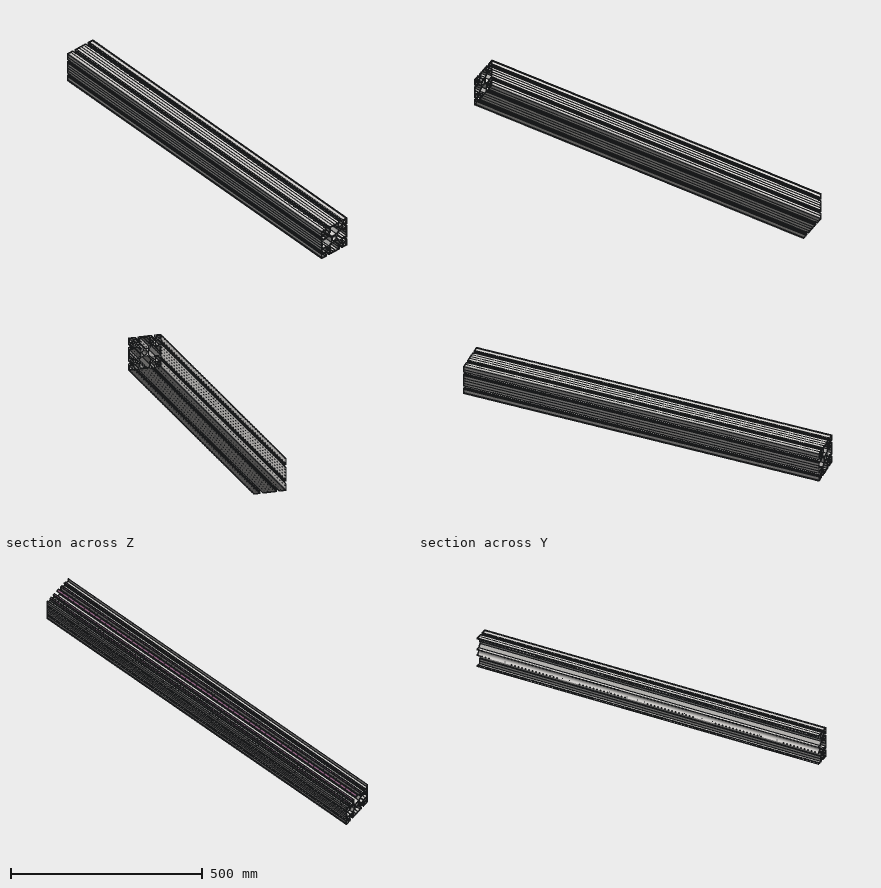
import cadquery as cq
import math

LENGTH = 1000.0
SIDE = 90.0
HALF_SIDE = SIDE / 2
EDGE_RADIUS = 2.5

SLOT_PITCH = 45.0
SLOT_OFFSET = SLOT_PITCH / 2
CORE_BORE = 6.78
CENTRE_BORE = 14.0

MOUTH_WIDTH = 8.2
LIP_DEPTH = 4.0
LIP_STEP_WIDTH = 10.7
CAVITY_WIDTH = 14.6
CAVITY_TOP_DEPTH = 8.5
CAVITY_BOTTOM_DEPTH = 8.7
SLOT_DEPTH = 15.7
FLOOR_WIDTH = 12.2

WALL = 2.4

SLOT_BLOCK_WIDTH = 19.5
SLOT_BLOCK_DEPTH = 17.7
CORE_WIDTH = 13.0
HOLLOW_CHAMFER = 1.3

POST_WIDTH = 20.6
WEB_THICKNESS = 3.6

PAD_WIDTH = 8.0
PAD_THICKNESS = 3.5

QUARTER_TURNS = (0, 90, 180, 270)


def section():
    """Plane across the bar: local x is Y, local y is Z, extrusion runs along +X."""
    return cq.Workplane("YZ")


def symmetric_prism(half_outline, centre=0.0):
    """Full-length prism from one half outline of (offset, z) points, mirrored about y = centre."""
    right = [(centre + offset, z) for offset, z in half_outline]
    left = [(centre - offset, z) for offset, z in reversed(half_outline)]
    return section().polyline(right + left).close().extrude(LENGTH)


def slot(y):
    """Undercut slot opening through the top face."""
    return symmetric_prism(
        [
            (MOUTH_WIDTH / 2, HALF_SIDE),
            (MOUTH_WIDTH / 2, HALF_SIDE - LIP_DEPTH),
            (LIP_STEP_WIDTH / 2, HALF_SIDE - LIP_DEPTH),
            (CAVITY_WIDTH / 2, HALF_SIDE - CAVITY_TOP_DEPTH),
            (CAVITY_WIDTH / 2, HALF_SIDE - CAVITY_BOTTOM_DEPTH),
            (FLOOR_WIDTH / 2, HALF_SIDE - SLOT_DEPTH),
        ],
        y,
    )


def corner_hollow():
    """Square hollow at the +Y, +Z edge, its inner corner cut off along the web between two slots."""
    inner = SLOT_OFFSET + SLOT_BLOCK_WIDTH / 2
    outer = HALF_SIDE - WALL
    outline = [
        (inner + HOLLOW_CHAMFER, inner),
        (outer, inner),
        (outer, outer),
        (inner, outer),
        (inner, inner + HOLLOW_CHAMFER),
    ]
    return section().polyline(outline).close().extrude(LENGTH)


def side_hollow():
    """Large hollow between the centre post and the middle of the top wall."""
    wall_z = HALF_SIDE - WALL
    pad_z = HALF_SIDE - PAD_THICKNESS
    slot_block_y = SLOT_OFFSET - SLOT_BLOCK_WIDTH / 2
    slot_block_z = HALF_SIDE - SLOT_BLOCK_DEPTH
    core_y = SLOT_OFFSET - CORE_WIDTH / 2
    web_rise = WEB_THICKNESS / math.sqrt(2)
    post_z = POST_WIDTH / 2
    return symmetric_prism(
        [
            (PAD_WIDTH / 2, pad_z),
            (PAD_WIDTH / 2, wall_z),
            (slot_block_y, wall_z),
            (slot_block_y, slot_block_z),
            (core_y, slot_block_z),
            (core_y, core_y + web_rise),
            (post_z - web_rise, post_z),
        ]
    )


def build():
    body = section().rect(SIDE, SIDE).extrude(LENGTH).edges("|X").fillet(EDGE_RADIUS)
    top_cutters = [slot(-SLOT_OFFSET), slot(SLOT_OFFSET), corner_hollow(), side_hollow()]
    for angle in QUARTER_TURNS:
        for cutter in top_cutters:
            body = body.cut(cutter.rotate((0, 0, 0), (1, 0, 0), angle))
    core_bores = section().rect(SLOT_PITCH, SLOT_PITCH, forConstruction=True).vertices()
    body = body.cut(core_bores.circle(CORE_BORE / 2).extrude(LENGTH))
    return body.cut(section().circle(CENTRE_BORE / 2).extrude(LENGTH))


result = build()